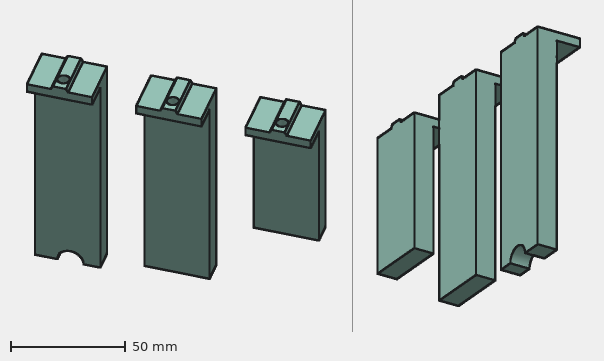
import cadquery as cq

bracket_width = 29.9
bracket_pitch = 50.0
flange_depth = 22.0
leg_thickness = 10.0
flange_thickness = 4.3

ridge_height = 1.7
ridge_base_width = 7.9
ridge_top_width = 6.0

hole_diameter = 5.5
hole_from_front = 6.0

long_height = 108.0
bracket_heights = [long_height, 102.0, 68.0]

notch_radius = 6.0
notch_from_left = 16.2

top_z = long_height
flange_top_z = top_z - ridge_height
flange_bottom_z = flange_top_z - flange_thickness


def make_leg_and_flange(height):
    """L-shaped body with its left front edge at X = 0, Y = 0."""
    foot_z = top_z - height
    leg_front_y = flange_depth - leg_thickness
    return (
        cq.Workplane("YZ")
        .moveTo(0, flange_bottom_z)
        .lineTo(leg_front_y, flange_bottom_z)
        .lineTo(leg_front_y, foot_z)
        .lineTo(flange_depth, foot_z)
        .lineTo(flange_depth, flange_top_z)
        .lineTo(0, flange_top_z)
        .close()
        .extrude(bracket_width)
    )


def make_ridge():
    """Trapezoidal ridge running the full depth of the flange."""
    middle_x = bracket_width / 2
    return (
        cq.Workplane("XZ")
        .moveTo(middle_x - ridge_base_width / 2, flange_top_z)
        .lineTo(middle_x + ridge_base_width / 2, flange_top_z)
        .lineTo(middle_x + ridge_top_width / 2, top_z)
        .lineTo(middle_x - ridge_top_width / 2, top_z)
        .close()
        .extrude(-flange_depth)
    )


def make_screw_hole():
    """Vertical cutter through the ridge and the flange."""
    return (
        cq.Workplane("XY", origin=(bracket_width / 2, hole_from_front, flange_bottom_z))
        .circle(hole_diameter / 2)
        .extrude(flange_thickness + ridge_height)
    )


def make_foot_notch():
    """Cutter along Y, centred on the foot of the longest bracket."""
    return (
        cq.Workplane("XZ", origin=(notch_from_left, 0, top_z - long_height))
        .circle(notch_radius)
        .extrude(-flange_depth)
    )


def make_bracket(height):
    return make_leg_and_flange(height).union(make_ridge()).cut(make_screw_hole())


brackets = []
for index, height in enumerate(bracket_heights):
    bracket = make_bracket(height)
    if height == long_height:
        bracket = bracket.cut(make_foot_notch())
    brackets.append(bracket.translate((index * bracket_pitch, 0, 0)))

result = cq.Compound.makeCompound([bracket.solids().val() for bracket in brackets])